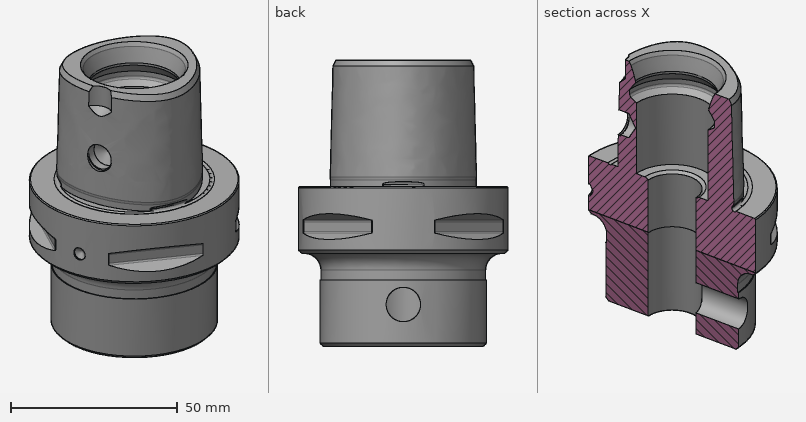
import cadquery as cq
import math

total_height = 86.0
holder_top_z = 29.0
flange_top_z = 48.0
taper_start_z = 50.9
foot_top_z = 50.05

shank_mean_radius = 21.9
lobe_eccentricity = 3.7
taper_slope = 1 / 40
foot_inset = 0.1
rim_chamfer_height = 1.8
rim_chamfer_width = 0.95
curve_samples = 72

flange_radius = 31.52
flange_rim_chamfer = 0.35
relief_ring_radius = 23.4
relief_section_radius = 0.9
relief_straight = 0.2
relief_height = 0.6

gripper_count = 4
gripper_z = 36.0
gripper_length = 29.1
gripper_floor_distance = 27.7
gripper_floor_half_height = 1.8
gripper_rim_half_height = 3.9
gripper_corner_radius = 0.6

mouth_radius = 16.2
mouth_chamfer_depth = 1.2
cone_top_radius = 15.4
land_radius = 13.8
land_top_depth = 5.9
land_bottom_depth = 6.7
clamp_groove_top_depth = 9.7
clamp_groove_radius = 15.9
clamp_groove_fillet = 1.3
clamp_groove_bottom_depth = 12.2
pilot_top_depth = 13.6
pilot_radius = 13.4
through_radius = 8.95
through_chamfer_width = 1.2
through_chamfer_depth = 0.7

notch_radius = 5.2
notch_axis_distance = 22.8
notch_bottom_z = 79.5
notch_tip_half_angle = 45.0
shank_hole_radius = 4.1
shank_hole_z = 63.55
shank_hole_floor_distance = 16.3
shank_hole_relief_drop = 0.4
shank_hole_relief_floor_distance = 19.35
flange_dimple_radius = 2.0
flange_dimple_floor_distance = 31.0
drill_half_angle = 59.0

holder_radius = 25.0
neck_radius = 24.8
neck_bottom_z = 20.0
neck_fillet = 5.0
edge_chamfer = 1.0
screw_hole_radius = 5.2
screw_hole_z = 12.6


def lobed_wire(mean_radius, z):
    """Closed three-lobed trochoid with one lobe pointing to +Y."""
    def point(t):
        angle = 2 * math.pi * t
        x = (mean_radius * math.sin(angle) + lobe_eccentricity / 2 * math.sin(2 * angle)
             + lobe_eccentricity / 8 * math.sin(4 * angle))
        y = (-mean_radius * math.cos(angle) + lobe_eccentricity / 2 * math.cos(2 * angle)
             - lobe_eccentricity / 8 * math.cos(4 * angle))
        return cq.Vector(x, y, z)

    points = [point(i / curve_samples) for i in range(curve_samples)]
    return cq.Wire.assembleEdges([cq.Edge.makeSpline(points, periodic=True)])


def lobed_prism(lower_radius, lower_z, upper_radius, upper_z):
    """Straight-sided solid between two lobed outlines."""
    wires = [lobed_wire(lower_radius, lower_z), lobed_wire(upper_radius, upper_z)]
    return cq.Workplane(cq.Solid.makeLoft(wires, True))


def revolve_profile(profile):
    """Full turn about Z of a profile drawn as (radius, height)."""
    return profile.close().revolve(360, (0, 0, 0), (0, 1, 0))


def make_shank():
    chamfer_z = total_height - rim_chamfer_height
    foot_radius = shank_mean_radius - foot_inset
    top_radius = shank_mean_radius - taper_slope * (chamfer_z - taper_start_z)
    foot = lobed_prism(foot_radius, flange_top_z - relief_section_radius, foot_radius, foot_top_z)
    step = lobed_prism(foot_radius, foot_top_z, shank_mean_radius, taper_start_z)
    taper = lobed_prism(shank_mean_radius, taper_start_z, top_radius, chamfer_z)
    rim = lobed_prism(top_radius, chamfer_z, top_radius - rim_chamfer_width, total_height)
    return foot.union(step).union(taper).union(rim)


def make_flange():
    disc = cq.Workplane("XY", origin=(0, 0, holder_top_z)).circle(flange_radius)
    return disc.extrude(flange_top_z - holder_top_z).faces(">Z").chamfer(flange_rim_chamfer)


def relief_ring_cutter():
    """Ring groove that sinks into the flange face and undercuts the lobes."""
    section = cq.Workplane("XZ").center(relief_ring_radius, flange_top_z + relief_height)
    width = 2 * relief_section_radius
    ring = section.slot2D(width + relief_straight, width, 90)
    return ring.revolve(360, (-relief_ring_radius, 0, 0), (-relief_ring_radius, 1, 0))


def gripper_cutter():
    """Tapered groove on the +X side, running along Y."""
    overshoot = 0.9
    depth = flange_radius - gripper_floor_distance
    flare = (gripper_rim_half_height - gripper_floor_half_height) / depth
    mouth_half_height = gripper_rim_half_height + flare * overshoot
    groove = (
        cq.Workplane("XZ", origin=(0, gripper_length / 2, gripper_z))
        .moveTo(gripper_floor_distance, -gripper_floor_half_height)
        .lineTo(gripper_floor_distance, gripper_floor_half_height)
        .lineTo(flange_radius + overshoot, mouth_half_height)
        .lineTo(flange_radius + overshoot, -mouth_half_height)
        .close()
        .extrude(gripper_length)
    )
    return groove.edges("|Y and <X").fillet(gripper_corner_radius)


def bore_cutter():
    """Mouth, cone, clamping groove, pilot bore and through bore."""
    pilot_chamfer_angle = 45
    fillet_drop = clamp_groove_fillet * math.sin(math.radians(pilot_chamfer_angle))
    fillet_inset = clamp_groove_fillet - fillet_drop
    wall_bottom_z = total_height - clamp_groove_bottom_depth + fillet_drop
    profile = (
        cq.Workplane("XZ")
        .moveTo(0, total_height)
        .lineTo(mouth_radius, total_height)
        .lineTo(cone_top_radius, total_height - mouth_chamfer_depth)
        .lineTo(land_radius, total_height - land_top_depth)
        .lineTo(land_radius, total_height - land_bottom_depth)
        .lineTo(clamp_groove_radius, total_height - clamp_groove_top_depth)
        .lineTo(clamp_groove_radius, wall_bottom_z)
        .radiusArc((clamp_groove_radius - fillet_inset, wall_bottom_z - fillet_drop), clamp_groove_fillet)
        .lineTo(pilot_radius, total_height - pilot_top_depth)
        .lineTo(pilot_radius, flange_top_z)
        .lineTo(through_radius + through_chamfer_width, flange_top_z)
        .lineTo(through_radius, flange_top_z - through_chamfer_depth)
        .lineTo(through_radius, holder_top_z)
        .lineTo(0, holder_top_z)
    )
    return revolve_profile(profile)


def drill_cutter(radius, tip_half_angle):
    """Drill along Z: straight above Z = 0, with a conical tip below."""
    overshoot = 8.6
    tip_length = radius / math.tan(math.radians(tip_half_angle))
    profile = (
        cq.Workplane("XZ")
        .moveTo(0, overshoot)
        .lineTo(radius, overshoot)
        .lineTo(radius, 0)
        .lineTo(0, -tip_length)
    )
    return revolve_profile(profile)


def blind_hole_cutter(radius, z, floor_distance):
    """Radial drilled hole from the -Y side; the tip starts at floor_distance."""
    drill = drill_cutter(radius, drill_half_angle)
    return drill.rotate((0, 0, 0), (1, 0, 0), 90).translate((0, -floor_distance, z))


def shank_hole_relief_cutter():
    """Shallow flat recess that lengthens the mouth of the shank hole downwards."""
    relief_z = shank_hole_z - shank_hole_relief_drop
    recess = cq.Workplane("XZ", origin=(0, -shank_hole_relief_floor_distance, relief_z))
    return recess.circle(shank_hole_radius).extrude(flange_radius - shank_hole_relief_floor_distance)


def notch_cutter():
    """Vertical key notch in the shank rim, with a 90 degree conical bottom."""
    drill = drill_cutter(notch_radius, notch_tip_half_angle)
    return drill.translate((0, -notch_axis_distance, notch_bottom_z))


def make_coupling():
    body = make_flange().union(make_shank())
    body = body.cut(relief_ring_cutter()).cut(bore_cutter()).cut(notch_cutter())
    body = body.cut(blind_hole_cutter(shank_hole_radius, shank_hole_z, shank_hole_floor_distance))
    body = body.cut(shank_hole_relief_cutter())
    body = body.cut(blind_hole_cutter(flange_dimple_radius, gripper_z, flange_dimple_floor_distance))
    for i in range(gripper_count):
        angle = 360 / gripper_count * (i + 0.5)
        body = body.cut(gripper_cutter().rotate((0, 0, 0), (0, 0, 1), angle))
    return body.solids()


def make_holder():
    collar_bottom_z = holder_top_z - edge_chamfer
    profile = (
        cq.Workplane("XZ")
        .moveTo(through_radius, 0)
        .lineTo(holder_radius - edge_chamfer, 0)
        .lineTo(holder_radius, edge_chamfer)
        .lineTo(holder_radius, neck_bottom_z)
        .lineTo(neck_radius, neck_bottom_z)
        .lineTo(neck_radius, collar_bottom_z - neck_fillet)
        .radiusArc((neck_radius + neck_fillet, collar_bottom_z), neck_fillet)
        .lineTo(flange_radius - edge_chamfer, collar_bottom_z)
        .lineTo(flange_radius, holder_top_z)
        .lineTo(through_radius, holder_top_z)
    )
    screw_hole = cq.Workplane("XZ", origin=(0, 0, screw_hole_z)).circle(screw_hole_radius)
    return revolve_profile(profile).cut(screw_hole.extrude(-flange_radius)).solids()


coupling = make_coupling()
holder = make_holder()

result = cq.Compound.makeCompound([coupling.val(), holder.val()])